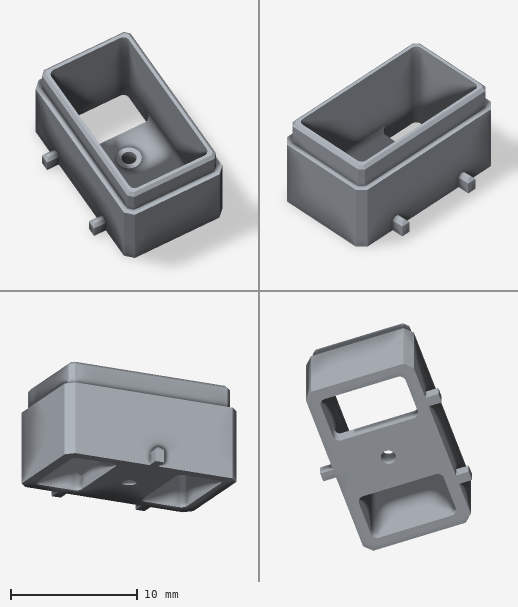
import cadquery as cq

length = 15.13
overall_width = 11.18
overall_height = 7.95
peg_reach = 1.07
base_width = overall_width - 2 * peg_reach
base_chamfer = 0.64

lip_height = 2.0
base_height = overall_height - lip_height
lip_inset = 0.45
lip_corner_chamfer = 0.4
lip_top_chamfer = 0.25

wall = 0.97
cavity_length = length - 2 * wall
cavity_width = base_width - 2 * wall
corner_radius = 0.5
bridge_length = 5.33
bridge_thickness = 1.2
bridge_fillet = 0.5

boss_diameter = 2.03
boss_hole_diameter = 1.2
boss_fillet = 0.51
boss_height = boss_fillet

front_peg_width = 0.8
rear_peg_width = 0.74
peg_height = 1.29
peg_chamfer = 0.25
front_peg_offset = 3.69


def block(size_x, size_y, size_z, bottom=0.0, center_x=0.0):
    """Box centred on Y, standing on the given height."""
    box = cq.Workplane("XY").box(size_x, size_y, size_z, centered=(True, True, False))
    return box.translate((center_x, 0, bottom))


def make_shell():
    base = block(length, base_width, base_height).edges("|Z").chamfer(base_chamfer)
    lip = block(length - 2 * lip_inset, base_width - 2 * lip_inset, overall_height)
    lip = lip.edges("|Z").chamfer(lip_corner_chamfer)
    lip = lip.faces(">Z").chamfer(lip_top_chamfer)
    return base.union(lip)


def make_cavity():
    """Space above the bridge, joined to a through window at each end."""
    upper_height = overall_height - bridge_thickness
    upper = block(cavity_length, cavity_width, upper_height, bridge_thickness)
    upper = upper.faces("<Z").edges("|X").fillet(bridge_fillet)
    outline = block(cavity_length, cavity_width, overall_height).edges("|Z").fillet(corner_radius)
    cavity = upper.intersect(outline)
    window_length = (cavity_length - bridge_length) / 2
    window_center = (cavity_length + bridge_length) / 4
    for side in (-1, 1):
        window = block(window_length, cavity_width, overall_height, center_x=side * window_center)
        cavity = cavity.union(window.edges("|Z").fillet(corner_radius))
    return cavity


def make_boss():
    """Round boss whose side is a concave arc flaring out to the bridge."""
    radius = boss_diameter / 2
    foot_radius = radius + boss_fillet
    top = bridge_thickness + boss_height
    profile = (
        cq.Workplane("XZ")
        .lineTo(foot_radius, 0)
        .lineTo(foot_radius, bridge_thickness)
        .radiusArc((radius, top), boss_fillet)
        .lineTo(0, top)
        .close()
    )
    return profile.revolve(360, (0, 0, 0), (0, 1, 0))


def make_peg(width, center_x, side):
    """Peg on the +Y (side = 1) or -Y (side = -1) wall, chamfered except at the wall."""
    depth = peg_reach + wall / 2
    peg = block(width, depth, peg_height)
    peg = peg.faces(">Z").chamfer(peg_chamfer)
    center_y = side * (overall_width - depth) / 2
    return peg.translate((center_x, center_y, 0))


result = make_shell().cut(make_cavity()).union(make_boss())
for front_peg_x in (-front_peg_offset, front_peg_offset):
    result = result.union(make_peg(front_peg_width, front_peg_x, -1))
result = result.union(make_peg(rear_peg_width, 0, 1))
boss_hole = cq.Workplane("XY").circle(boss_hole_diameter / 2).extrude(overall_height)
result = result.cut(boss_hole)